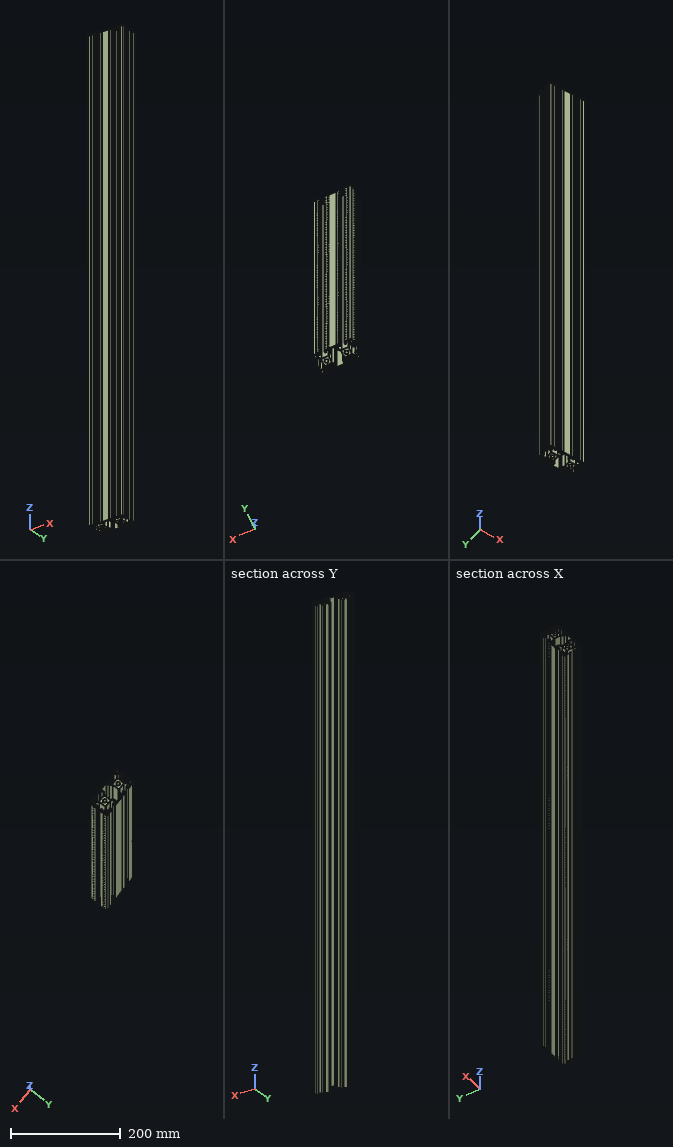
import cadquery as cq

module = 40.0
width = 2 * module
depth = module
length = 1000.0
corner_radius = 3.0

core_half = 7.7
bore_diameter = 6.8

slot_half_opening = 4.2
slot_half_width = 11.0
slot_depth = module / 2 - core_half
floor_chamfer = 4.5
flange_thickness = 1.8
lip_depth = 4.6
hook_width = 2.7

corner_wall = 1.6
corner_hollow = 5.6

slot_web = 1.4
outer_wall = 1.5


def prism(points):
    """Full-length prism over a closed outline in the XY plane."""
    return cq.Workplane("XY").polyline(points).close().extrude(length)


def slot_cutter():
    """T-slot with hooked lips, open at Y = 0 and running inward along +Y."""
    hook_outer = slot_half_opening + hook_width
    right_side = [
        (slot_half_opening, 0),
        (slot_half_opening, lip_depth),
        (hook_outer, lip_depth),
        (hook_outer, flange_thickness),
        (slot_half_width, flange_thickness),
        (slot_half_width, slot_depth - floor_chamfer),
        (slot_half_width - floor_chamfer, slot_depth),
    ]
    left_side = [(-x, y) for x, y in reversed(right_side)]
    return prism(right_side + left_side)


def place_slot(x, y, turn):
    """Slot cutter turned about Z by the given degrees, with its mouth centred on (x, y)."""
    return slot_cutter().rotate((0, 0, 0), (0, 0, 1), turn).translate((x, y, 0))


def corner_hollow_cutter(side_x, side_y):
    inset = corner_wall + corner_hollow / 2
    center_x = side_x * (width / 2 - inset)
    center_y = side_y * (depth / 2 - inset)
    return cq.Workplane("XY").center(center_x, center_y).rect(corner_hollow, corner_hollow).extrude(length)


def central_hollow_cutter():
    """Tall hollow with 45-degree shoulders that widens between the two cores."""
    half_width = module / 2 - core_half
    half_neck = module / 2 - slot_half_width - slot_web
    half_height = depth / 2 - outer_wall
    side_half_height = slot_half_width - floor_chamfer
    shoulder_height = side_half_height + half_width - half_neck
    upper_right = [
        (half_width, side_half_height),
        (half_neck, shoulder_height),
        (half_neck, half_height),
    ]
    right_side = [(x, -y) for x, y in reversed(upper_right)] + upper_right
    left_side = [(-x, -y) for x, y in right_side]
    return prism(right_side + left_side)


bar = cq.Workplane("XY").box(width, depth, length, centered=(True, True, False))
bar = bar.edges("|Z").fillet(corner_radius)

for side in (-1, 1):
    module_x = side * module / 2
    bar = bar.cut(place_slot(module_x, -depth / 2, 0))
    bar = bar.cut(place_slot(module_x, depth / 2, 180))
    bar = bar.cut(place_slot(side * width / 2, 0, side * 90))
    bar = bar.cut(cq.Workplane("XY").center(module_x, 0).circle(bore_diameter / 2).extrude(length))
    for side_y in (-1, 1):
        bar = bar.cut(corner_hollow_cutter(side, side_y))

result = bar.cut(central_hollow_cutter())